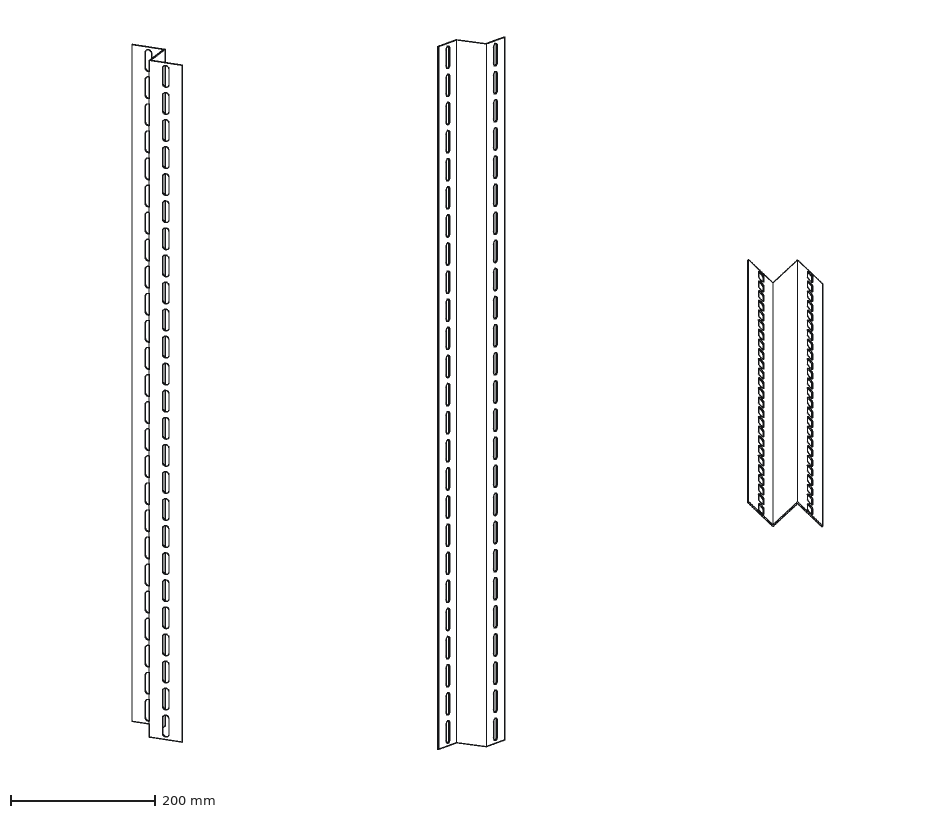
import cadquery as cq

length = 1000.0
leg_width = 50.0
depth = 50.0
thickness = 2.0

slot_pitch = 40.0
slot_length = 32.0
slot_width = 10.0
slot_direction = 90.0

half_web = thickness / 2
half_depth = depth / 2
half_span = leg_width - half_web
slot_count = int(length / slot_pitch)
slot_offset = leg_width / 2 - half_web


def make_profile():
    """Z-section: left leg at the back (+Y), web in the middle, right leg at the front (-Y)."""
    outline = [
        (-half_span, half_depth),
        (half_web, half_depth),
        (half_web, -half_depth + thickness),
        (half_span, -half_depth + thickness),
        (half_span, -half_depth),
        (-half_web, -half_depth),
        (-half_web, half_depth - thickness),
        (-half_span, half_depth - thickness),
    ]
    return cq.Workplane("XY").polyline(outline).close().extrude(length)


def make_slots():
    """Round-ended cutters through both legs, half a pitch in from each end of the profile."""
    centres = []
    for index in range(slot_count):
        height = slot_pitch * (index + 0.5)
        centres.append((-slot_offset, height))
        centres.append((slot_offset, height))
    return (
        cq.Workplane("XZ")
        .pushPoints(centres)
        .slot2D(slot_length, slot_width, slot_direction)
        .extrude(half_depth, both=True)
    )


result = make_profile().cut(make_slots())